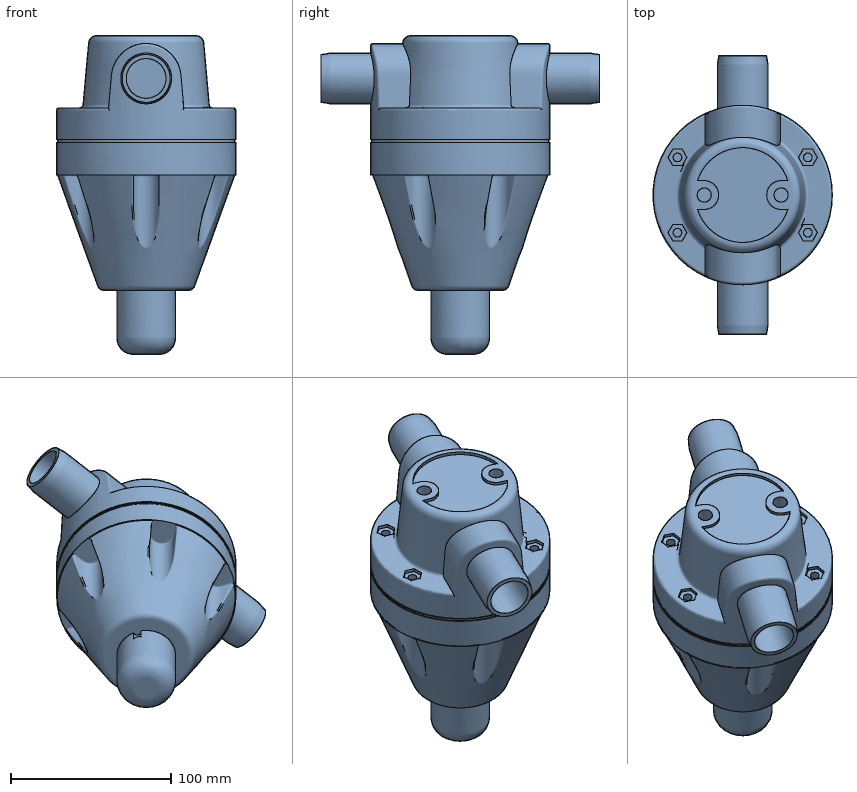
import cadquery as cq
import math


total_height = 199.0
bowl_bottom_z = 40.0
cone_top_z = 112.1
groove_bottom_z = 132.3
groove_top_z = 134.1
flange_top_z = 154.0
pipe_axis_z = 172.3

body_radius = 56.0
groove_depth = 0.6
flange_edge_radius = 1.8
cone_top_radius = 55.4
cone_bottom_radius = 29.3
bowl_edge_radius = 4.0
stub_radius = 18.35
stub_tip_radius = 10.3

cap_base_radius = 39.4
cap_top_radius = 35.6
cap_edge_radius = 5.0
cap_foot_radius = 2.0

recess_radius = 29.6
recess_depth = 2.0
tab_radius = 9.0
tab_offset = 24.0
tab_hole_diameter = 8.8
tab_hole_depth = 15.0

slot_count = 6
first_slot_angle = 90.0
slot_radius = 8.0
slot_axis_offset = 46.9
slot_roof_radius = 1.3
slot_edge_radius = 0.8

saddle_radius = 21.8
saddle_draft = 5.0
saddle_edge_radius = 1.5

pipe_length = 174.0
pipe_radius = 15.85
pipe_tip_length = 5.5
pipe_tip_step = 0.9
bore_radius = 12.4
bore_depth = 45.0

nut_circle_radius = 47.0
nut_angles = (30.0, 150.0, 210.0, 330.0)
nut_sides = 6
nut_across_flats = 10.2
nut_pocket_depth = 2.2
bolt_hole_diameter = 5.4
bolt_hole_depth = 12.0

channel_radius = 2.5
channel_angle = 120.0
channel_length = 6.5


def polar(radius, angle):
    """X and Y of a point at a radius and an angle in degrees about Z."""
    turn = math.radians(angle)
    return radius * math.cos(turn), radius * math.sin(turn)


def make_slot_cutter():
    """Round-backed upright slot on the +X side, open outwards."""
    height = cone_top_z - bowl_bottom_z
    base = cq.Workplane("XY", origin=(slot_axis_offset, 0, bowl_bottom_z))
    cutter = (
        base.moveTo(body_radius, -slot_radius)
        .lineTo(0, -slot_radius)
        .threePointArc((-slot_radius, 0), (0, slot_radius))
        .lineTo(body_radius, slot_radius)
        .close()
        .extrude(height)
    )
    return cutter.faces(">Z").edges().fillet(slot_roof_radius)


def make_bowl():
    """Lower cone with its rounded bottom edge and the ring of grip slots."""
    cone = (
        cq.Workplane("XZ")
        .moveTo(0, bowl_bottom_z)
        .lineTo(cone_bottom_radius, bowl_bottom_z)
        .lineTo(cone_top_radius, cone_top_z)
        .lineTo(0, cone_top_z)
        .close()
        .revolve(360, (0, 0), (0, 1))
        .faces("<Z")
        .edges()
        .fillet(bowl_edge_radius)
    )
    cutter = make_slot_cutter()
    for index in range(slot_count):
        angle = first_slot_angle + index * 360 / slot_count
        cone = cone.cut(cutter.rotate((0, 0, 0), (0, 0, 1), angle))
    slot_edges = cone.edges("%HYPERBOLA or %BSPLINE")
    return slot_edges.fillet(slot_edge_radius)


def make_rings():
    """Cylindrical bowl rim and cover flange, with the parting groove between them."""
    height = flange_top_z - cone_top_z
    rings = cq.Workplane("XY", origin=(0, 0, cone_top_z)).circle(body_radius).extrude(height)
    rings = rings.faces(">Z").edges().fillet(flange_edge_radius)
    groove = (
        cq.Workplane("XY", origin=(0, 0, groove_bottom_z))
        .circle(body_radius + groove_depth)
        .circle(body_radius - groove_depth)
        .extrude(groove_top_z - groove_bottom_z)
    )
    return rings.cut(groove)


def make_stub():
    """Drain stub with its rounded tip and the short channel along its side."""
    stub = cq.Workplane("XY").circle(stub_radius).extrude(bowl_bottom_z)
    stub = stub.faces("<Z").edges().fillet(stub_tip_radius)
    x, y = polar(stub_radius, channel_angle)
    channel = (
        cq.Workplane("XY", origin=(x, y, bowl_bottom_z)).circle(channel_radius).extrude(-channel_length)
    )
    return stub.cut(channel)


def make_cap():
    """Tapered cap with a rounded top edge and a flared foot."""
    cos_45 = math.sqrt(0.5)
    foot_middle = cap_base_radius + cap_foot_radius * (1 - cos_45)
    foot_middle_z = flange_top_z + cap_foot_radius * (1 - cos_45)
    foot_top_z = flange_top_z + cap_foot_radius
    profile = (
        cq.Workplane("XZ")
        .moveTo(0, flange_top_z)
        .lineTo(cap_base_radius + cap_foot_radius, flange_top_z)
        .threePointArc((foot_middle, foot_middle_z), (cap_base_radius, foot_top_z))
        .lineTo(cap_top_radius, total_height)
        .lineTo(0, total_height)
        .close()
    )
    cap = profile.revolve(360, (0, 0), (0, 1))
    return cap.faces(">Z").edges().fillet(cap_edge_radius)


def make_saddles():
    """Arched drafted ridge across the flange, trimmed round to the body."""
    draft = math.radians(saddle_draft)
    tangent_half_width = saddle_radius * math.cos(draft)
    tangent_z = pipe_axis_z + saddle_radius * math.sin(draft)
    foot_z = groove_top_z
    foot_half_width = tangent_half_width + (tangent_z - foot_z) * math.tan(draft)
    ridge = (
        cq.Workplane("XZ")
        .moveTo(-foot_half_width, foot_z)
        .lineTo(-tangent_half_width, tangent_z)
        .threePointArc((0, pipe_axis_z + saddle_radius), (tangent_half_width, tangent_z))
        .lineTo(foot_half_width, foot_z)
        .close()
        .extrude(body_radius * 2, both=True)
    )
    trim = cq.Workplane("XY", origin=(0, 0, foot_z)).circle(body_radius).extrude(total_height - foot_z)
    ridge = ridge.intersect(trim)
    end_edges = ridge.faces("<Y or >Y").edges().edges("not <Z")
    ridge = end_edges.fillet(saddle_edge_radius)
    trim_height = flange_top_z - flange_edge_radius - foot_z
    below_flange = (
        cq.Workplane("XY", origin=(0, 0, foot_z)).circle(2 * body_radius).extrude(trim_height)
    )
    return ridge.cut(below_flange)


def make_pipes():
    """Straight bar along Y for both pipes, its two ends drawn in slightly."""
    half_length = pipe_length / 2
    shoulder = half_length - pipe_tip_length
    tip_radius = pipe_radius - pipe_tip_step
    profile = (
        cq.Workplane("XY")
        .moveTo(0, -half_length)
        .lineTo(tip_radius, -half_length)
        .lineTo(pipe_radius, -shoulder)
        .lineTo(pipe_radius, shoulder)
        .lineTo(tip_radius, half_length)
        .lineTo(0, half_length)
        .close()
    )
    return profile.revolve(360, (0, 0), (0, 1)).translate((0, 0, pipe_axis_z))


def make_bores():
    """Blind bores entering both pipe ends."""
    bore = cq.Workplane("XZ", origin=(0, pipe_length / 2, pipe_axis_z)).circle(bore_radius).extrude(bore_depth)
    return bore.union(bore.mirror("XZ"))


def make_cap_recess():
    """Round recess in the cap top, leaving the two screw tabs standing."""
    floor_z = total_height - recess_depth
    recess = cq.Workplane("XY", origin=(0, 0, floor_z)).circle(recess_radius).extrude(recess_depth)
    for side in (-1, 1):
        tab_end = side * tab_offset
        tab = (
            cq.Workplane("XY", origin=(0, 0, floor_z))
            .center(tab_end + side * tab_offset / 2, 0)
            .rect(tab_offset, 2 * tab_radius)
            .extrude(recess_depth)
        )
        tab_nose = cq.Workplane("XY", origin=(tab_end, 0, floor_z)).circle(tab_radius).extrude(recess_depth)
        recess = recess.cut(tab).cut(tab_nose)
    return recess


def make_tab_holes():
    """Blind screw holes in the two tabs."""
    return (
        cq.Workplane("XY", origin=(0, 0, total_height))
        .pushPoints([(-tab_offset, 0), (tab_offset, 0)])
        .circle(tab_hole_diameter / 2)
        .extrude(-tab_hole_depth)
    )


def make_nut_pockets():
    """Hexagonal nut pockets in the flange with a bolt hole below each."""
    places = [polar(nut_circle_radius, angle) for angle in nut_angles]
    across_corners = nut_across_flats / math.cos(math.pi / nut_sides)
    pockets = (
        cq.Workplane("XY", origin=(0, 0, flange_top_z + cap_foot_radius))
        .pushPoints(places)
        .polygon(nut_sides, across_corners)
        .extrude(-nut_pocket_depth - cap_foot_radius)
    )
    holes = (
        cq.Workplane("XY", origin=(0, 0, flange_top_z))
        .pushPoints(places)
        .circle(bolt_hole_diameter / 2)
        .extrude(-bolt_hole_depth)
    )
    return pockets.union(holes)


result = make_bowl().union(make_rings()).union(make_stub()).union(make_cap())
result = result.union(make_saddles()).union(make_pipes())
result = result.cut(make_bores()).cut(make_cap_recess())
result = result.cut(make_tab_holes()).cut(make_nut_pockets())